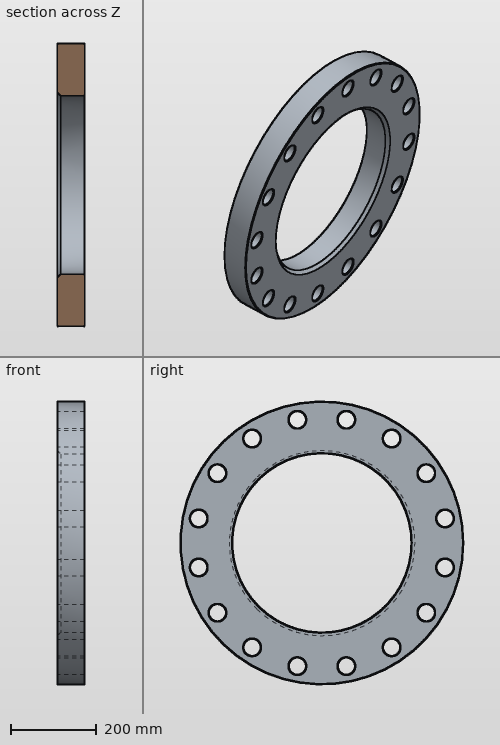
import cadquery as cq
import math

outer_diameter = 660.0
thickness = 65.0
edge_chamfer = 2.0

bore_diameter = 416.0
bore_front_chamfer = 8.0

bolt_count = 16
bolt_circle_diameter = 585.0
bolt_hole_diameter = 39.0
bolt_pitch_angle = 360.0 / bolt_count

overcut = 6.5


def make_ring():
    """Solid disc centred on the origin with both rim edges chamfered."""
    disc = cq.Workplane("YZ", origin=(-thickness / 2, 0, 0)).circle(outer_diameter / 2).extrude(thickness)
    return disc.edges().chamfer(edge_chamfer)


def hole_cutter(diameter, front_chamfer, back_chamfer):
    """Hole along X through the ring, widened by 45 degree chamfers at -X and +X."""
    radius = diameter / 2
    front = -thickness / 2
    back = thickness / 2
    profile = [
        (front - overcut, 0),
        (front - overcut, radius + front_chamfer),
        (front, radius + front_chamfer),
        (front + front_chamfer, radius),
        (back - back_chamfer, radius),
        (back, radius + back_chamfer),
        (back + overcut, radius + back_chamfer),
        (back + overcut, 0),
    ]
    return cq.Workplane("XY").polyline(profile).close().revolve(360, (0, 0), (1, 0))


result = make_ring().cut(hole_cutter(bore_diameter, bore_front_chamfer, edge_chamfer))

bolt_cutter = hole_cutter(bolt_hole_diameter, edge_chamfer, edge_chamfer)
for index in range(bolt_count):
    angle = math.radians((index + 0.5) * bolt_pitch_angle)
    bolt_y = bolt_circle_diameter / 2 * math.cos(angle)
    bolt_z = bolt_circle_diameter / 2 * math.sin(angle)
    result = result.cut(bolt_cutter.translate((0, bolt_y, bolt_z)))